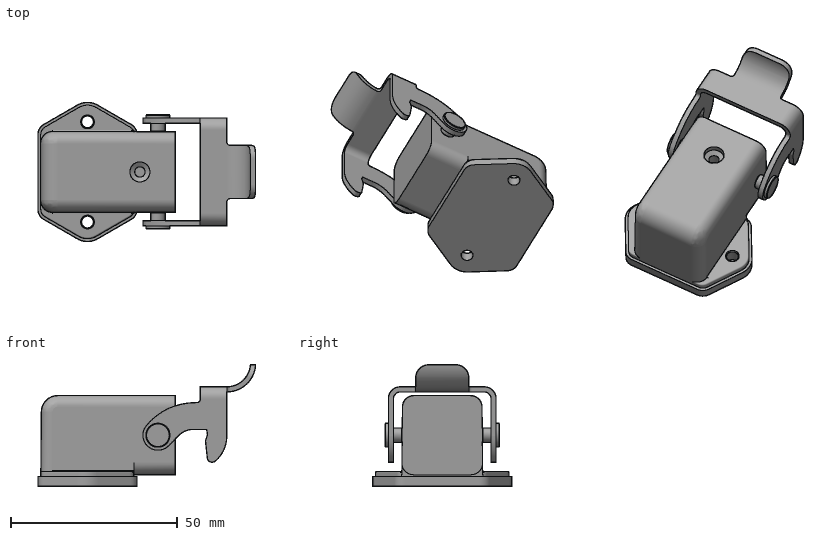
import cadquery as cq
import math

flange_half_length = 14.875
flange_half_width = 20.875
flange_side_angle = math.radians(30)
flange_tip_radius = 6.0
flange_corner_radius = 3.5
plate_height = 3.0
step_height = 4.45
step_inset = 0.87
step_edge_radius = 0.4
screw_hole_diameter = 3.5
screw_hole_chamfer = 0.3
screw_hole_chamfer_angle = 90
screw_hole_offset = 15.0

hood_base_width = 24.27
hood_back = -14.02
hood_front = 26.35
hood_top = 27.2
hood_draft = 0.5
hood_back_top_radius = 5.0
hood_side_radius = 3.5
hood_foot_radius = 0.35
overhang_start = flange_half_length - step_inset
overhang_bottom = 3.45

recess_x = 15.7
recess_diameter = 6.0
recess_depth = 1.7
recess_bore_diameter = 3.1
recess_bore_depth = 6.0
recess_cone_angle = math.radians(118)

pivot_x = 21.1
pivot_z = 15.3
pin_diameter = 4.4
pin_end_chamfer = 0.2
pin_head_diameter = 7.2
pin_head_chamfer = 0.2
pin_head_face = 17.15
sheet_thickness = 1.6
lever_half_width = 16.17
lever_bend_radius = 3.6
lever_eye_radius = 4.5
bridge_back = 33.72
bridge_front = 41.76
bridge_top = 29.83
arm_top = 25.1
arm_bottom = 17.0
arm_arc_radius = 19.0
arm_inner_radius = 6.0
arm_notch_radius = 0.9
hook_arc_radius = 9.8
hook_tip_radius = 1.5
hook_tip_x = 37.33
hook_tip_z = 8.68
hook_corner_x = 35.65
hook_corner_radius = 0.3
hook_dent_x = 35.92
hook_dent_z = 15.5
hook_bump_x = 35.3
hook_bump_z = 13.6
hook_bump_radius = 0.8

tab_half_width = 8.0
tab_tip_x = 50.375
tab_tip_z = 36.44
tab_corner_radius = 4.0
tab_root_radius = 1.0


def hexagon_prism(inset, height):
    """Rounded hexagon with tips on the Y axis, shrunk by inset, standing on Z = 0."""
    half_length = flange_half_length - inset
    tip_radius = flange_tip_radius - inset
    corner_radius = flange_corner_radius - inset
    tip_centre = flange_half_width - flange_tip_radius
    tip_y = tip_centre + tip_radius / math.cos(flange_side_angle)
    corner_y = tip_y - half_length * math.tan(flange_side_angle)
    outline = [
        (0, tip_y), (half_length, corner_y), (half_length, -corner_y),
        (0, -tip_y), (-half_length, -corner_y), (-half_length, corner_y),
    ]
    prism = cq.Workplane("XY").polyline(outline).close().extrude(height)
    prism = prism.edges("|Z and (>Y or <Y)").fillet(tip_radius)
    return prism.edges("|Z and (>X or <X)").fillet(corner_radius)


def make_flange():
    plate = hexagon_prism(0, plate_height)
    step = hexagon_prism(step_inset, step_height).faces(">Z").edges().fillet(step_edge_radius)
    return plate.union(step)


def cut_screw_holes(body):
    chamfer_diameter = screw_hole_diameter + 2 * screw_hole_chamfer
    return (
        body.copyWorkplane(cq.Workplane("XY", origin=(0, 0, step_height)))
        .pushPoints([(0, -screw_hole_offset), (0, screw_hole_offset)])
        .cskHole(screw_hole_diameter, chamfer_diameter, screw_hole_chamfer_angle)
    )


def make_hood():
    trim = 5.0
    length = hood_front + trim - hood_back
    height = hood_top - plate_height
    block = (
        cq.Workplane("XY", origin=(hood_back + length / 2, 0, plate_height))
        .rect(length, hood_base_width)
        .extrude(height, taper=hood_draft)
    )
    excess = (
        cq.Workplane("XY", origin=(hood_front + trim, 0, 0))
        .rect(2 * trim, 2 * hood_base_width)
        .extrude(hood_top)
    )
    block = block.cut(excess)
    block = block.faces(">Z").edges("<X").fillet(hood_back_top_radius)
    under = (
        cq.Workplane("XY", origin=(overhang_start, -hood_base_width, 0))
        .rect(hood_front, 2 * hood_base_width, centered=False)
        .extrude(overhang_bottom)
    )
    middle_x = (hood_front + overhang_start) / 2
    block = round_long_edges(block, middle_x, hood_wall_y(hood_top), hood_top)
    block = block.cut(under)
    return round_long_edges(block, middle_x, hood_wall_y(overhang_bottom), overhang_bottom)


def round_long_edges(block, x, half_width, z):
    """Round the pair of hood edges running along X at the given height."""
    for y in (half_width, -half_width):
        edge = cq.selectors.NearestToPointSelector((x, y, z))
        block = block.edges(edge).fillet(hood_side_radius)
    return block


def hood_wall_y(z):
    """Half width of the drafted hood at height z."""
    return hood_base_width / 2 - (z - plate_height) * math.tan(math.radians(hood_draft))


def make_hood_foot():
    """Small concave round where the +Y hood side stands on the flange step."""
    wall_y = hood_wall_y(step_height)
    root_y = wall_y - hood_foot_radius
    foot_top = step_height + hood_foot_radius
    bow = hood_foot_radius * (1 - math.sqrt(0.5))
    start_x = hood_back + hood_side_radius
    return (
        cq.Workplane("YZ", origin=(start_x, 0, 0))
        .moveTo(root_y, step_height - hood_foot_radius)
        .lineTo(wall_y + hood_foot_radius, step_height - hood_foot_radius)
        .lineTo(wall_y + hood_foot_radius, step_height)
        .threePointArc((wall_y + bow, step_height + bow), (wall_y, foot_top))
        .lineTo(root_y, foot_top)
        .close()
        .extrude(overhang_start - start_x)
    )


def cut_roof_recess(body):
    cone_depth = (recess_diameter - recess_bore_diameter) / 2 / math.tan(recess_cone_angle / 2)
    profile = [
        (0, 0), (recess_diameter / 2, 0), (recess_diameter / 2, -recess_depth),
        (recess_bore_diameter / 2, -recess_depth - cone_depth),
        (recess_bore_diameter / 2, -recess_bore_depth), (0, -recess_bore_depth),
    ]
    recess = cq.Workplane("XZ").polyline(profile).close().revolve(360, (0, 0), (0, 1))
    return body.cut(recess.translate((recess_x, 0, hood_top)))


def make_pin():
    """Pivot pin on the +Y side, from inside the hood out to its head."""
    wall_y = hood_wall_y(pivot_z)
    root_y = wall_y - hood_side_radius
    neck_radius = pin_diameter / 2 - pin_end_chamfer
    rim_radius = pin_head_diameter / 2 - pin_head_chamfer
    profile = [
        (0, root_y), (neck_radius, root_y), (neck_radius, wall_y),
        (pin_diameter / 2, wall_y + pin_end_chamfer), (pin_diameter / 2, lever_half_width),
        (pin_head_diameter / 2, lever_half_width),
        (pin_head_diameter / 2, pin_head_face - pin_head_chamfer),
        (rim_radius, pin_head_face), (0, pin_head_face),
    ]
    pin = cq.Workplane("XY").polyline(profile).close().revolve(360, (0, 0), (0, 1))
    return pin.translate((pivot_x, 0, pivot_z))


def make_lever():
    arm_centre_z = arm_top - arm_arc_radius
    centre_distance = arm_arc_radius - lever_eye_radius
    rise = pivot_z - arm_centre_z
    arm_centre_x = pivot_x + math.sqrt(centre_distance ** 2 - rise ** 2)
    eye_angle = math.atan2(rise, pivot_x - arm_centre_x)
    middle_angle = (eye_angle + math.pi / 2) / 2
    eye_top = (
        pivot_x + lever_eye_radius * math.cos(eye_angle),
        pivot_z + lever_eye_radius * math.sin(eye_angle),
    )
    arm_middle = (
        arm_centre_x + arm_arc_radius * math.cos(middle_angle),
        arm_centre_z + arm_arc_radius * math.sin(middle_angle),
    )

    diagonal = math.sqrt(0.5)
    eye_bottom = (pivot_x + lever_eye_radius * diagonal, pivot_z - lever_eye_radius * diagonal)
    eye_far = (pivot_x - lever_eye_radius * diagonal, pivot_z - lever_eye_radius * diagonal)
    elbow = (eye_bottom[0] + arm_bottom - eye_bottom[1], arm_bottom)

    hook_centre_x = bridge_front - hook_arc_radius
    tip_dx = hook_tip_x - hook_centre_x
    tip_dz = math.sqrt((hook_arc_radius - hook_tip_radius) ** 2 - tip_dx ** 2)
    hook_centre_z = hook_tip_z + tip_dz
    tip_angle = math.atan2(-tip_dz, tip_dx)
    hook_middle = (
        hook_centre_x + hook_arc_radius * math.cos(tip_angle / 2),
        hook_centre_z + hook_arc_radius * math.sin(tip_angle / 2),
    )
    tip_outer = (
        hook_tip_x + hook_tip_radius * math.cos(tip_angle),
        hook_tip_z + hook_tip_radius * math.sin(tip_angle),
    )
    tip_bottom = (hook_tip_x, hook_tip_z - hook_tip_radius)
    tip_inner = (hook_tip_x - hook_tip_radius, hook_tip_z)

    sheet = (
        cq.Workplane("XZ", origin=(0, lever_half_width, 0))
        .moveTo(*eye_top)
        .threePointArc(arm_middle, (arm_centre_x, arm_top))
        .lineTo(bridge_back, arm_top)
        .lineTo(bridge_back, bridge_top)
        .lineTo(bridge_front, bridge_top)
        .lineTo(bridge_front, hook_centre_z)
        .threePointArc(hook_middle, tip_outer)
        .threePointArc(tip_bottom, tip_inner)
        .lineTo(hook_bump_x, hook_bump_z)
        .lineTo(hook_dent_x, hook_dent_z)
        .lineTo(hook_corner_x, arm_bottom)
        .lineTo(*elbow)
        .lineTo(*eye_bottom)
        .threePointArc(eye_far, eye_top)
        .close()
        .extrude(2 * lever_half_width)
    )
    rounded_corners = [
        (elbow, arm_inner_radius),
        ((bridge_back, arm_top), arm_notch_radius),
        ((hook_corner_x, arm_bottom), hook_corner_radius),
        ((hook_dent_x, hook_dent_z), hook_bump_radius),
        ((hook_bump_x, hook_bump_z), hook_bump_radius),
    ]
    for (x, z), radius in rounded_corners:
        sheet = sheet.edges(cq.selectors.NearestToPointSelector((x, 0, z))).fillet(radius)

    outside = bent_block(0)
    inside = bent_block(sheet_thickness)
    return sheet.intersect(outside.cut(inside))


def bent_block(inset):
    """Block under the lever's bent sheet, shrunk by inset, with rounded upper long edges."""
    half_width = lever_half_width - inset
    return (
        cq.Workplane("XY")
        .rect(2 * bridge_front, 2 * half_width)
        .extrude(bridge_top - inset)
        .translate((bridge_front / 2, 0, 0))
        .edges("|X and >Z")
        .fillet(lever_bend_radius - inset)
    )


def make_tab():
    underside = bridge_top - sheet_thickness
    reach = tab_tip_x - bridge_front
    rise = tab_tip_z - underside
    outer_radius = (reach ** 2 + rise ** 2) / (2 * rise)
    inner_radius = outer_radius - sheet_thickness
    centre_z = underside + outer_radius
    inner_tip_x = bridge_front + math.sqrt(inner_radius ** 2 - (centre_z - tab_tip_z) ** 2)
    diagonal = math.sqrt(0.5)
    root_half_width = tab_half_width + tab_root_radius
    curl = (
        cq.Workplane("XZ", origin=(0, root_half_width, 0))
        .moveTo(bridge_front, underside)
        .threePointArc(
            (bridge_front + outer_radius * diagonal, centre_z - outer_radius * diagonal),
            (tab_tip_x, tab_tip_z),
        )
        .lineTo(inner_tip_x, tab_tip_z)
        .threePointArc(
            (bridge_front + inner_radius * diagonal, centre_z - inner_radius * diagonal),
            (bridge_front, bridge_top),
        )
        .close()
        .extrude(2 * root_half_width)
    )
    rounded_end = (
        cq.Workplane("YZ", origin=(bridge_front, 0, underside))
        .rect(2 * tab_half_width, 2 * rise)
        .extrude(reach)
        .edges("|X and >Z")
        .fillet(tab_corner_radius)
    )
    root = (
        cq.Workplane("XY", origin=(bridge_front + tab_root_radius / 2, 0, underside))
        .rect(tab_root_radius, 2 * root_half_width)
        .extrude(rise)
    )
    root_rounds = (
        cq.Workplane("XY", origin=(bridge_front + tab_root_radius, 0, underside))
        .pushPoints([(0, -root_half_width), (0, root_half_width)])
        .circle(tab_root_radius)
        .extrude(rise)
    )
    return curl.intersect(rounded_end.union(root.cut(root_rounds)))


foot = make_hood_foot()
base = make_flange().union(make_hood()).union(foot).union(foot.mirror("XZ"))
base = cut_screw_holes(base)
base = cut_roof_recess(base)
pin = make_pin()
result = base.union(pin).union(pin.mirror("XZ")).union(make_lever()).union(make_tab())